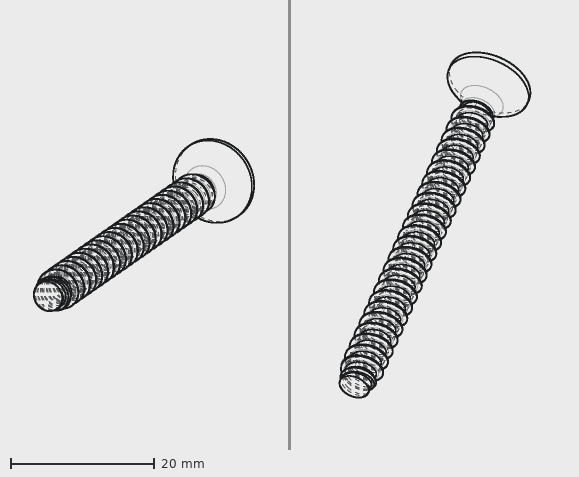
import cadquery as cq
import math

length = 60.0

head_radius = 6.0
rim_height = 0.85
shank_radius = 2.45
shank_end = 5.95
neck_fillet = 2.4
cone_end = rim_height + head_radius - shank_radius

core_radius = 2.15
crest_radius = 3.0
first_crest = 7.0
last_crest = 56.15
turns_between_crests = 23
thread_pitch = (last_crest - first_crest) / turns_between_crests
crest_half_width = 0.09
knee_radius = 2.4
knee_half_width = 0.3
root_radius = 2.05
head_side_root = 1.0
tip_side_root = 0.55
run_in_length = 1.1
run_in_radius = 2.4
run_out_radius = 2.1
run_out_length = 3.3


def make_body():
    """Head, neck fillet, shank and thread core as one turned body."""
    tangent = neck_fillet * math.tan(math.radians(45 / 2))
    along_cone = tangent * math.cos(math.radians(45))
    arc_center = (shank_radius + neck_fillet, cone_end + tangent)
    arc_middle = (
        arc_center[0] - neck_fillet * math.cos(math.radians(45 / 2)),
        arc_center[1] - neck_fillet * math.sin(math.radians(45 / 2)),
    )
    return (
        cq.Workplane("YZ")
        .moveTo(0, 0)
        .lineTo(head_radius, 0)
        .lineTo(head_radius, rim_height)
        .lineTo(shank_radius + along_cone, cone_end - along_cone)
        .threePointArc(arc_middle, (shank_radius, cone_end + tangent))
        .lineTo(shank_radius, shank_end)
        .lineTo(core_radius, shank_end)
        .lineTo(core_radius, length)
        .lineTo(0, length)
        .close()
        .revolve(360, (0, 0, 0), (0, 1, 0))
    )


def make_thread_envelope():
    """Turned space that limits the thread: a cone at the shank and one at the tip, base to base."""
    run_in_slope = (crest_radius - run_in_radius) / run_in_length
    run_out_slope = (crest_radius - run_out_radius) / run_out_length
    outer_radius = 2 * crest_radius
    return (
        cq.Workplane("XZ")
        .moveTo(0, shank_end - run_in_radius / run_in_slope)
        .lineTo(outer_radius, shank_end + (outer_radius - run_in_radius) / run_in_slope)
        .lineTo(outer_radius, length - (outer_radius - run_out_radius) / run_out_slope)
        .lineTo(run_out_radius, length)
        .lineTo(0, length)
        .close()
        .revolve(360, (0, 0, 0), (0, 1, 0))
    )


def make_thread():
    """Right-handed tooth swept past both ends of the thread, then cut to the envelope."""
    sweep_start = first_crest - thread_pitch
    sweep_length = length + thread_pitch - sweep_start
    tooth = (
        cq.Workplane("XZ")
        .polyline([
            (root_radius, -head_side_root),
            (knee_radius, -knee_half_width),
            (crest_radius, -crest_half_width),
            (crest_radius, crest_half_width),
            (knee_radius, knee_half_width),
            (root_radius, tip_side_root),
        ])
        .close()
    )
    helix = cq.Wire.makeHelix(thread_pitch, sweep_length, core_radius)
    ridge = tooth.sweep(cq.Workplane(helix), isFrenet=True).translate((0, 0, sweep_start))
    return ridge.intersect(make_thread_envelope())


screw = make_body().union(make_thread(), clean=False)
result = screw.rotate((0, 0, 0), (1, 0, 0), 90)